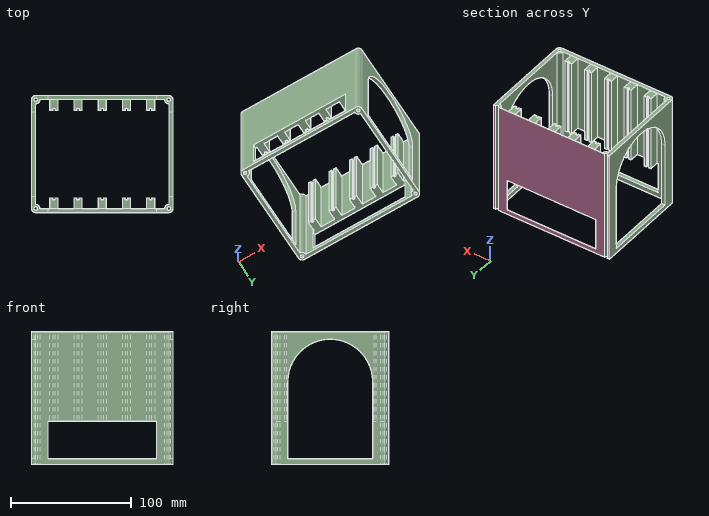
import cadquery as cq

length = 117.0
depth = 97.0
height = 110.0
wall = 3.5
corner_radius = wall

post_diameter = 2 * corner_radius
screw_hole_diameter = 2.7

sill_height = 5.0
window_length = 89.3
window_height = 30.7
arch_width = 69.8
arch_height = 98.5

guide_count = 5
guide_spacing = 20.0
guide_width = 6.9
guide_reach = 8.9
guide_top_gap = 0.1
groove_width = 1.8
groove_depth = 1.5


def make_shell():
    """Rectangular tube, open at the top and bottom."""
    block = cq.Workplane("XY").rect(length, depth).extrude(height)
    outer = block.edges("|Z").fillet(corner_radius)
    inner = cq.Workplane("XY").rect(length - 2 * wall, depth - 2 * wall).extrude(height)
    return outer.cut(inner)


def corner_cylinders(diameter):
    """Full-height cylinders on the four corner axes."""
    centers = cq.Workplane("XY").rect(
        length - 2 * corner_radius,
        depth - 2 * corner_radius,
        forConstruction=True,
    )
    return centers.vertices().circle(diameter / 2).extrude(height)


def make_guide(side, x):
    """Card guide on the -Y wall (side = -1) or the +Y wall (side = 1), centred at x."""
    bottom = sill_height + window_height
    guide_height = height - guide_top_gap - bottom
    tip = depth / 2 - wall - guide_reach
    bar_depth = guide_reach + wall / 2
    bar = (
        cq.Workplane("XY", origin=(x, side * (tip + bar_depth / 2), bottom))
        .rect(guide_width, bar_depth)
        .extrude(guide_height)
    )
    groove = (
        cq.Workplane("XY", origin=(x, side * tip, bottom))
        .rect(groove_width, 2 * groove_depth)
        .extrude(guide_height)
    )
    return bar.cut(groove)


def make_window():
    """Rectangular opening through both side walls."""
    return (
        cq.Workplane("XY", origin=(0, 0, sill_height))
        .rect(window_length, depth)
        .extrude(window_height)
    )


def make_arch():
    """Round-topped opening through both end walls."""
    radius = arch_width / 2
    spring_line = sill_height + arch_height - radius
    return (
        cq.Workplane("YZ")
        .moveTo(-radius, sill_height)
        .lineTo(radius, sill_height)
        .lineTo(radius, spring_line)
        .threePointArc((0, sill_height + arch_height), (-radius, spring_line))
        .close()
        .extrude(length / 2, both=True)
    )


shell = make_shell().cut(make_window()).cut(make_arch())
body = shell.union(corner_cylinders(post_diameter))

for index in range(guide_count):
    guide_x = (index - (guide_count - 1) / 2) * guide_spacing
    for side in (-1, 1):
        body = body.union(make_guide(side, guide_x))

result = body.cut(corner_cylinders(screw_hole_diameter))